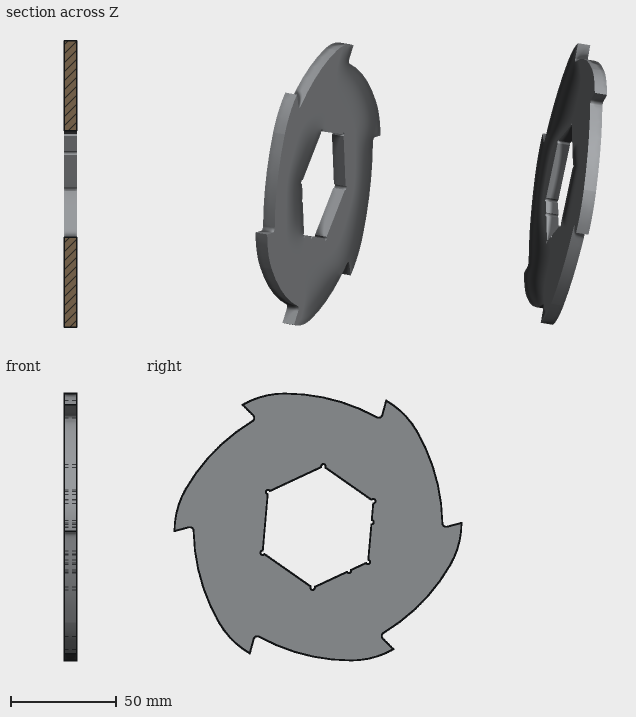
import cadquery as cq
import math


thickness = 6.0
tooth_count = 6
tooth_pitch = 360.0 / tooth_count

tip_radius = 67.99
tip_angle = -1.7
nose_radius = 40.0
nose_start_angle = 0.0
nose_sweep = 30.0
relief_radius = 90.0
face_heading = 165.0
gullet_fillet = 1.75

bore_apothem = 25.0
bore_side_angle = 5.0
bore_sides = 6
corner_relief_radius = 1.0
mark_radius = 1.0
mark_offset = 4.5
mark_side_indices = (3, 4)


def polar(radius, angle):
    """Point at a polar radius and an angle in degrees."""
    return (radius * math.cos(math.radians(angle)), radius * math.sin(math.radians(angle)))


def shift(point, distance, heading):
    """Point moved by a distance along a heading in degrees."""
    dx, dy = polar(distance, heading)
    return (point[0] + dx, point[1] + dy)


def turn(point, angle):
    """Point turned about the plate axis by an angle in degrees."""
    return polar(math.hypot(*point), math.degrees(math.atan2(point[1], point[0])) + angle)


def line_to_circle(start, heading, center, radius):
    """First of the two points where a line entering a circle meets it."""
    ux, uy = polar(1.0, heading)
    dx, dy = start[0] - center[0], start[1] - center[1]
    along = dx * ux + dy * uy
    distance = -along - math.sqrt(along**2 - (dx**2 + dy**2 - radius**2))
    return shift(start, distance, heading)


def tooth_points():
    """Points of one tooth: tip, nose middle, junction, relief middle, gullet corner."""
    tip = polar(tip_radius, tip_angle)
    junction_normal = nose_start_angle + nose_sweep
    nose_center = shift(tip, -nose_radius, nose_start_angle)
    nose_middle = shift(nose_center, nose_radius, nose_start_angle + nose_sweep / 2)
    junction = shift(nose_center, nose_radius, junction_normal)
    relief_center = shift(junction, -relief_radius, junction_normal)

    next_tip = turn(tip, tooth_pitch)
    gullet = line_to_circle(next_tip, face_heading + tooth_pitch, relief_center, relief_radius)
    gullet_normal = math.degrees(math.atan2(gullet[1] - relief_center[1], gullet[0] - relief_center[0]))
    relief_middle = shift(relief_center, relief_radius, (junction_normal + gullet_normal) / 2)
    return tip, nose_middle, junction, relief_middle, gullet


def plate_plane():
    """Sketch plane whose horizontal is -Y, vertical is +Z and normal is -X."""
    return cq.Workplane(cq.Plane(origin=(thickness / 2, 0, 0), xDir=(0, -1, 0), normal=(-1, 0, 0)))


def toothed_plate():
    """Solid disc with the ratchet-like teeth and rounded gullets."""
    tip, nose_middle, junction, relief_middle, gullet = tooth_points()
    outline = plate_plane().moveTo(*tip)
    for index in range(tooth_count):
        angle = index * tooth_pitch
        outline = outline.threePointArc(turn(nose_middle, angle), turn(junction, angle))
        outline = outline.threePointArc(turn(relief_middle, angle), turn(gullet, angle))
        if index < tooth_count - 1:
            outline = outline.lineTo(*turn(tip, angle + tooth_pitch))
    plate = outline.close().extrude(thickness)

    for index in range(tooth_count):
        y, z = turn(gullet, index * tooth_pitch)
        corner = cq.selectors.NearestToPointSelector((0, -y, z))
        plate = plate.edges("|X").edges(corner).fillet(gullet_fillet)
    return plate


def hex_bore():
    """Hexagonal cutter with its corner reliefs and marking notches."""
    side_step = 360.0 / bore_sides
    corner_radius = bore_apothem / math.cos(math.radians(side_step / 2))
    corners = [
        polar(corner_radius, bore_side_angle + (index + 0.5) * side_step) for index in range(bore_sides)
    ]
    marks = []
    for index in mark_side_indices:
        normal = bore_side_angle + index * side_step
        marks.append(shift(polar(bore_apothem, normal), mark_offset, normal - 90.0))

    bore = plate_plane().polyline(corners).close().extrude(thickness)
    bore = bore.union(plate_plane().pushPoints(corners).circle(corner_relief_radius).extrude(thickness))
    return bore.union(plate_plane().pushPoints(marks).circle(mark_radius).extrude(thickness))


result = toothed_plate().cut(hex_bore())